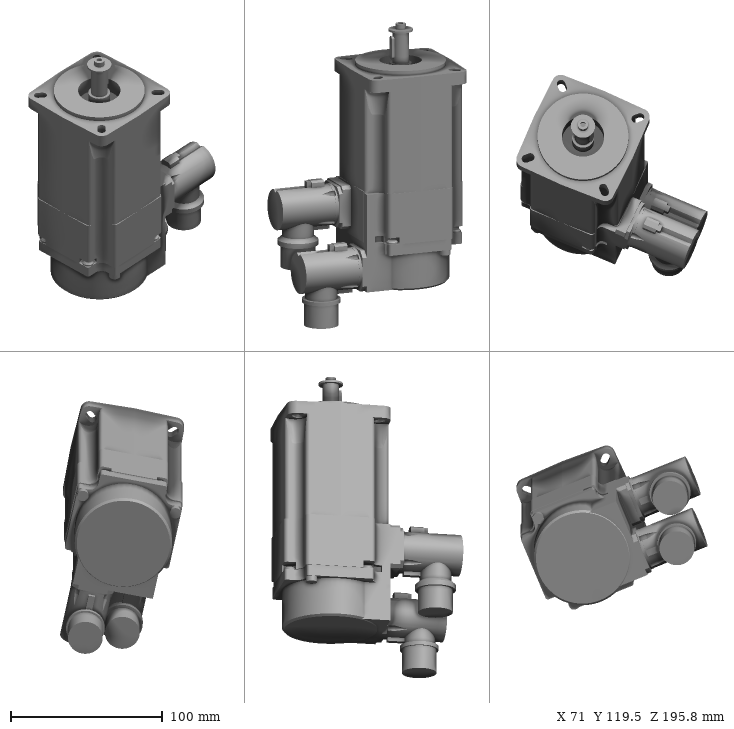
import cadquery as cq
import math


body_width = 71.0
half_width = body_width / 2
overall_depth = 119.5
corner_half_width = 34.7
corner_flat = 29.0
flange_half_width = 35.0

pilot_radius = 30.0
pilot_height = 3.0
seal_bore_diameter = 28.0
seal_bore_floor = -7.5

slot_center = 27.5
slot_width = 5.5
slot_length = 8.6

flange_bottom = -8.5
cone_bottom = -25.8
stator_bottom = -78.0
frame_bottom = -112.5
rear_flange_bottom = -120.0
cap_bottom = -145.9

groove_edge = 20.8
groove_radius = 5.9
body_lip_radius = 2.5
flange_lip_radius = 1.8
groove_wall = groove_edge + body_lip_radius
groove_center = groove_wall + groove_radius
cone_top_radius = 8.6

screw_near = 18.8
screw_far = 31.1
screw_head_radius = 3.7
lower_head_height = 3.5
upper_head_height = 2.0
upper_head_chamfer = 0.8
screw_recess_radius = 5.7
screw_recess_height = 4.7
recess_back = 29.4

cap_radius = 32.1
cap_chamfer = 1.4

block_width = 53.8
block_half_width = block_width / 2
block_top = -79.1
block_corner_y = 27.0
block_fillet = block_corner_y - groove_wall

connector_spacing = 26.0
connector_x = connector_spacing / 2
upper_axis_z = -93.8
lower_axis_z = -131.5
pad_size = 27.8
pad_half = pad_size / 2
block_bottom = lower_axis_z - pad_half
pad_chamfer = 4.1
pad_thickness = 2.3
upper_pad_face = 44.0
lower_pad_face = 38.2
spacer_height = 29.4
spacer_chamfer = 2.2

barrel_radius = 13.7
barrel_length = overall_depth - half_width - upper_pad_face
ring_radius = 13.9
ring_length = 2.2
keyway_width = 6.5
keyway_depth = 2.2
latch_width = 8.0
latch_height = 17.6
latch_start = 6.5
latch_length = 9.0
latch_side_chamfer = 2.0
latch_top_chamfer = 1.2
tab_width = 4.3
tab_length = 2.7
tab_height = 17.2
rib_depth = 16.0
rib_length = 12.7
well_offset = 9.8
well_radius = 2.0
well_start = 1.0
upper_well_straight = 3.7
upper_well_tip = 11.0
lower_well_straight = 5.9
lower_well_tip = 14.3

outlet_distance = 23.7
neck_radius = 10.5
pipe_diameter = 23.0
pipe_radius = pipe_diameter / 2
collar_radius = 12.7
collar_top = 18.2
collar_bottom = 20.8
pipe_bottom = 36.5
wide_collar_radius = 13.5
wide_collar_cone_top = 19.0
wide_collar_cone_bottom = 21.5
wide_collar_bottom = 24.9
short_pipe_bottom = 40.1

shaft_radius = 5.5
shaft_top = 24.3
shoulder_radius = 7.2
shoulder_top = 1.4
clip_radius = 8.0
clip_bottom = 23.0
stub_diameter = 6.9
stub_top = 27.8
center_hole_radius = 1.8
center_hole_depth = 2.0
key_width = 4.0
key_top = 19.8
key_bottom = 4.1
key_face = 7.0

SIGNS = (1, -1)


def cylinder(x, y, z_low, z_high, radius):
    return cq.Workplane("XY", origin=(x, y, z_low)).circle(radius).extrude(z_high - z_low)


def box(x_range, y_range, z_range):
    size = [high - low for low, high in (x_range, y_range, z_range)]
    corner = (x_range[0], y_range[0], z_range[0])
    return cq.Workplane("XY", origin=corner).box(*size, centered=False)


def all_corners(solid):
    """Four copies of a solid made for the +X +Y corner."""
    return [solid.rotate((0, 0, 0), (0, 0, 1), 90 * turn) for turn in range(4)]


def corner_groove(face, lip_radius, z_low, z_high):
    """Groove along the +X +Y corner of a body whose sides stand at the given distance."""
    wall = groove_edge + lip_radius
    center = wall + groove_radius
    deepest = center - groove_radius * math.sqrt(0.5)
    lip = face - lip_radius
    lip_mid = lip_radius * math.sqrt(0.5)
    outside = face + groove_radius
    return (
        cq.Workplane("XY", origin=(0, 0, z_low))
        .moveTo(groove_edge, face)
        .threePointArc((groove_edge + lip_mid, lip + lip_mid), (wall, lip))
        .lineTo(wall, center)
        .threePointArc((deepest, deepest), (center, wall))
        .lineTo(lip, wall)
        .threePointArc((lip + lip_mid, groove_edge + lip_mid), (face, groove_edge))
        .lineTo(outside, groove_edge)
        .lineTo(outside, outside)
        .lineTo(groove_edge, outside)
        .close()
        .extrude(z_high - z_low)
    )


def turn_point(x, y, quarter_turns):
    """Point turned about the Z axis in steps of 90 degrees."""
    for _ in range(quarter_turns):
        x, y = -y, x
    return (x, y)


def stator_outline():
    """Square with slightly roof-shaped sides and rounded corners."""
    mid = corner_flat + (corner_half_width - corner_flat) * math.sqrt(0.5)
    outline = cq.Workplane("XY", origin=(0, 0, stator_bottom)).moveTo(corner_half_width, -corner_flat)
    for turn in range(4):
        outline = (
            outline.lineTo(*turn_point(half_width, 0, turn))
            .lineTo(*turn_point(corner_half_width, corner_flat, turn))
            .threePointArc(turn_point(mid, mid, turn), turn_point(corner_flat, corner_half_width, turn))
        )
    return outline.close()


def make_stator_housing():
    body = stator_outline().extrude(-stator_bottom)
    body = body.union(cylinder(0, 0, 0, pilot_height, pilot_radius))
    body = body.cut(cylinder(0, 0, seal_bore_floor, pilot_height, seal_bore_diameter / 2))

    slot = (
        cq.Workplane("XY", origin=(slot_center, slot_center, flange_bottom))
        .slot2D(slot_length, slot_width, 45)
        .extrude(-flange_bottom)
    )
    taper = (half_width - corner_half_width) / corner_flat
    groove_face = half_width - taper * groove_edge
    groove = corner_groove(groove_face, body_lip_radius, stator_bottom, flange_bottom)
    cone = (
        cq.Workplane("XY", origin=(groove_center, groove_center, cone_bottom))
        .circle(groove_radius)
        .workplane(offset=flange_bottom - cone_bottom)
        .circle(cone_top_radius)
        .loft()
    )
    for feature in (slot, groove, cone):
        for copy in all_corners(feature):
            body = body.cut(copy)
    return body


def back_corner_fill():
    """Terminal block side that partly closes the groove in the +X +Y corner."""
    height = (rear_flange_bottom, block_top)
    outer_x = block_half_width + block_fillet
    fill = box((0, outer_x), (0, flange_half_width), height)
    fill = fill.cut(box((block_half_width, outer_x), (block_corner_y, half_width), height))
    return fill.cut(cylinder(outer_x, block_corner_y, *height, block_fillet))


def connector_pad(x, axis_z, face):
    """Square seat with bevelled corners, ending at the given Y."""
    return (
        cq.Workplane("XZ", origin=(x, face, axis_z))
        .rect(pad_size, pad_size)
        .extrude(face)
        .edges("|Y")
        .chamfer(pad_chamfer)
    )


def connector_spacer():
    """Block that carries the upper connector pad away from the frame."""
    face = upper_pad_face - pad_thickness
    return (
        cq.Workplane("XZ", origin=(connector_x, face, upper_axis_z))
        .rect(pad_size, spacer_height)
        .extrude(face - groove_center)
        .edges("|Y")
        .chamfer(spacer_chamfer)
    )


def make_rear_housing():
    flange_side = 2 * flange_half_width
    body = (
        cq.Workplane("XY", origin=(0, 0, frame_bottom))
        .rect(body_width, body_width)
        .extrude(stator_bottom - frame_bottom)
    )
    flange = (
        cq.Workplane("XY", origin=(0, 0, rear_flange_bottom))
        .rect(flange_side, flange_side)
        .extrude(frame_bottom - rear_flange_bottom)
    )
    frame_groove = corner_groove(half_width, body_lip_radius, frame_bottom, stator_bottom)
    for copy in all_corners(frame_groove):
        body = body.cut(copy)
    flange_groove = corner_groove(flange_half_width, flange_lip_radius, rear_flange_bottom, frame_bottom)
    for copy in all_corners(flange_groove):
        flange = flange.cut(copy)
    body = body.union(flange)

    fill = back_corner_fill()
    body = body.union(fill).union(fill.mirror("YZ"))

    cap = cylinder(0, 0, cap_bottom, rear_flange_bottom, cap_radius).faces("<Z").chamfer(cap_chamfer)
    block = box(
        (-block_half_width, block_half_width), (0, flange_half_width), (block_bottom, rear_flange_bottom)
    )
    body = body.union(cap).union(block)

    body = body.union(connector_pad(-connector_x, lower_axis_z, lower_pad_face))
    body = body.union(connector_pad(connector_x, upper_axis_z, upper_pad_face))
    body = body.union(connector_spacer())
    return add_body_screws(body)


def add_body_screws(body):
    recess_top = frame_bottom + screw_recess_height
    upper_head_top = frame_bottom + upper_head_height
    lower_head_bottom = rear_flange_bottom - lower_head_height
    for sign in SIGNS:
        side_x = sorted((sign * groove_wall, sign * half_width))
        body = body.cut(box(side_x, (groove_wall, recess_back), (frame_bottom, recess_top)))
        for x, y in ((sign * screw_far, screw_near), (sign * screw_near, -screw_far)):
            body = body.cut(cylinder(x, y, frame_bottom, recess_top, screw_recess_radius))
            head = cylinder(x, y, frame_bottom, upper_head_top, screw_head_radius)
            body = body.union(head.faces(">Z").chamfer(upper_head_chamfer))
        x, y = sign * screw_far, -screw_near
        body = body.union(cylinder(x, y, lower_head_bottom, rear_flange_bottom, screw_head_radius))
    return body


def along_y(x, z, y_low, y_high, radius):
    return cq.Workplane("XZ", origin=(x, y_low, z)).circle(radius).extrude(y_low - y_high)


def screw_well(x, z, straight, tip):
    """Pointed pocket for a connector screw, made along +Y from the pad face."""
    return (
        cq.Workplane("XY")
        .moveTo(0, well_start)
        .lineTo(well_radius, well_start)
        .lineTo(well_radius, straight)
        .lineTo(0, tip)
        .close()
        .revolve(360, (0, 0, 0), (0, 1, 0))
        .translate((x, 0, z))
    )


def make_connector(outlet_profile):
    """Connector with its barrel axis on Y and its pad face at Y = 0."""
    body = along_y(0, 0, 0, barrel_length, barrel_radius)

    keyway_half = keyway_width / 2
    keyway = (
        cq.Workplane("XZ", origin=(0, latch_start, 0))
        .polyline([
            (-keyway_half, barrel_radius),
            (0, barrel_radius - keyway_depth),
            (keyway_half, barrel_radius),
        ])
        .close()
        .extrude(-barrel_length)
    )
    body = body.cut(keyway)
    body = body.union(along_y(0, 0, 0, ring_length, ring_radius))

    outlet = cq.Workplane("XZ").polyline(outlet_profile).close().revolve(360, (0, 0, 0), (0, 1, 0))
    body = body.union(outlet.translate((0, outlet_distance, 0)))

    half = latch_width / 2
    bevel_x = half - latch_side_chamfer
    bevel_z = latch_height - latch_top_chamfer
    latch = (
        cq.Workplane("XZ", origin=(0, latch_start, 0))
        .polyline([
            (-half, 0), (-half, bevel_z), (-bevel_x, latch_height),
            (bevel_x, latch_height), (half, bevel_z), (half, 0),
        ])
        .close()
        .extrude(-latch_length)
    )
    tab_x = (-tab_width / 2, tab_width / 2)
    latch_end = latch_start + latch_length
    tab = box(tab_x, (latch_start, latch_end + tab_length), (0, tab_height))
    rib = box(tab_x, (ring_length, ring_length + rib_length), (-rib_depth, 0))
    body = body.union(latch).union(tab).union(rib)

    for sign in SIGNS:
        x = sign * well_offset
        body = body.cut(screw_well(x, well_offset, upper_well_straight, upper_well_tip))
        body = body.cut(screw_well(x, -well_offset, lower_well_straight, lower_well_tip))
    return body


def plain_outlet():
    """Half profile (radius, height) of the outlet with a narrow collar."""
    return [
        (0, 0), (neck_radius, 0), (neck_radius, -collar_top), (collar_radius, -collar_top),
        (collar_radius, -collar_bottom), (pipe_radius, -collar_bottom),
        (pipe_radius, -pipe_bottom), (0, -pipe_bottom),
    ]


def wide_collar_outlet():
    """Half profile (radius, height) of the outlet with a wide bevelled collar."""
    return [
        (0, 0), (neck_radius, 0), (neck_radius, -wide_collar_cone_top),
        (wide_collar_radius, -wide_collar_cone_bottom), (wide_collar_radius, -wide_collar_bottom),
        (pipe_radius, -wide_collar_bottom), (pipe_radius, -short_pipe_bottom), (0, -short_pipe_bottom),
    ]


def make_shaft():
    shaft = cylinder(0, 0, seal_bore_floor, shaft_top, shaft_radius)
    shaft = shaft.union(cylinder(0, 0, seal_bore_floor, shoulder_top, shoulder_radius))
    shaft = shaft.union(cylinder(0, 0, clip_bottom, shaft_top, clip_radius))
    shaft = shaft.union(cylinder(0, 0, shaft_top, stub_top, stub_diameter / 2))
    shaft = shaft.cut(cylinder(0, 0, stub_top - center_hole_depth, stub_top, center_hole_radius))
    key = (
        cq.Workplane("XZ", origin=(0, 0, (key_top + key_bottom) / 2))
        .slot2D(key_top - key_bottom, key_width, 90)
        .extrude(-key_face)
    )
    return shaft.union(key)


stator_housing = make_stator_housing()
rear_housing = make_rear_housing()
shaft = make_shaft()
lower_connector = make_connector(plain_outlet()).translate((-connector_x, lower_pad_face, lower_axis_z))
upper_connector = make_connector(wide_collar_outlet()).translate((connector_x, upper_pad_face, upper_axis_z))

result = cq.Compound.makeCompound([
    stator_housing.val(),
    rear_housing.val(),
    shaft.val(),
    lower_connector.val(),
    upper_connector.val(),
])